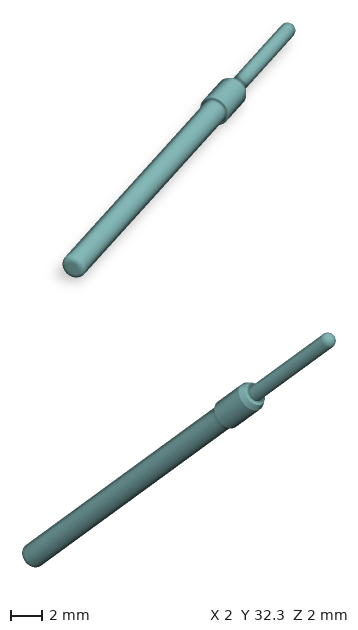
import cadquery as cq

total_length = 32.3

barrel_diameter = 1.65
collar_diameter = 2.0
plunger_diameter = 1.03

plunger_length = 8.3
collar_length = 3.0
barrel_length = total_length - collar_length - plunger_length

barrel_edge_radius = 0.4

chamfer_length = 0.4
chamfer_depth = 0.2


def rod(diameter, start, length):
    """Solid cylinder along +Y, beginning at the given Y position."""
    base = cq.Workplane("XZ", origin=(0, start, 0))
    return base.circle(diameter / 2).extrude(-length)


collar_start = barrel_length
plunger_start = collar_start + collar_length

barrel = rod(barrel_diameter, 0, barrel_length).faces("<Y").edges().fillet(barrel_edge_radius)

collar_radius = collar_diameter / 2
shoulder_radius = collar_radius - chamfer_depth
collar_outline = [
    (0, collar_start),
    (collar_radius, collar_start),
    (collar_radius, plunger_start - chamfer_length),
    (shoulder_radius, plunger_start),
    (0, plunger_start),
]
collar = cq.Workplane("XY").polyline(collar_outline).close().revolve(360, (0, 0), (0, 1))

tip_radius = plunger_diameter / 2
tip_center = total_length - tip_radius
plunger = rod(plunger_diameter, plunger_start, tip_center - plunger_start)
tip = cq.Workplane("XY", origin=(0, tip_center, 0)).sphere(tip_radius)

result = barrel.union(collar).union(plunger).union(tip)